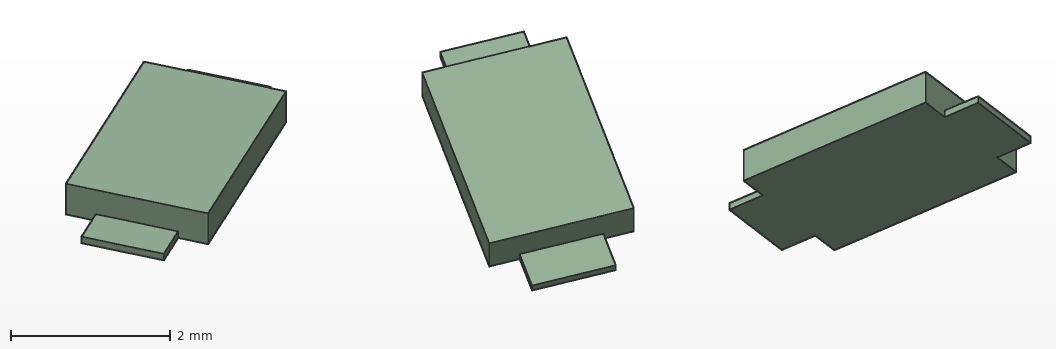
import cadquery as cq

body_width = 1.9
body_length = 2.85
body_height = 0.47

lead_width = 1.1
lead_span = 3.9
lead_thickness = 0.1


def block(width, length, height):
    """Box centred in X and Y, resting on the Z = 0 plane."""
    return cq.Workplane("XY").box(width, length, height, centered=(True, True, False))


body = block(body_width, body_length, body_height)
leads = block(lead_width, lead_span, lead_thickness)

result = body.union(leads)